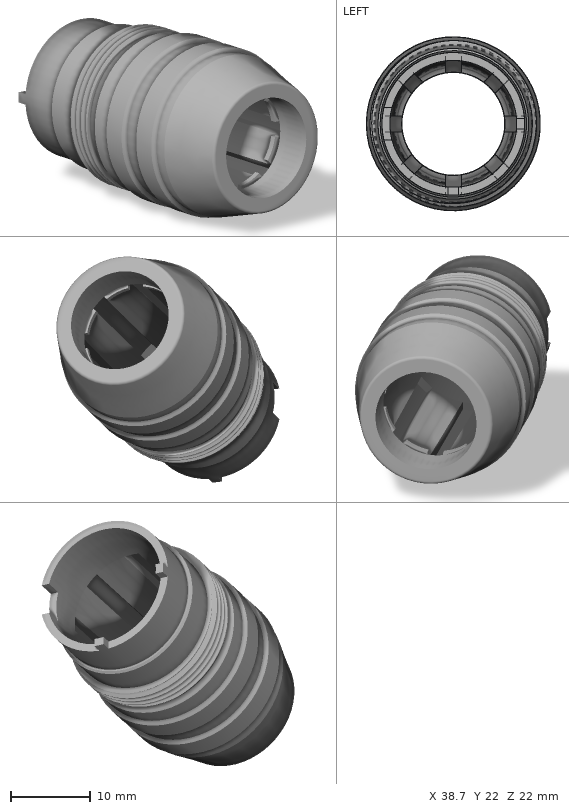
import cadquery as cq
import math


overall_length = 38.72
fit_radius = 9.02
clear_radius = 6.5
clamp_cone_start = 30.98
clamp_cone_angle = 45

collet_front = 1.45
collet_tip = 32.52
collet_bore_radius = 8.0
finger_start = 9.35
finger_end_bore_radius = 7.6
lip_front = 31.75
lip_fillet = 0.45
slot_count = 8
slot_width = 2.0
notch_width = 4.1
notch_end = 4.05
tab_width = 1.3
tab_angles = (180, 270)

nut_front = 7.12
nut_front_chamfer = 0.27
pilot_radius = 9.53
pilot_end = 11.77
thread_lead_length = 0.55
thread_end = 15.65
neck_radius = 9.9
neck_end = 16.65
flange_radius = 10.55
grip_radius = 11.0
grip_starts = (19.75, 25.7)
grip_length = 3.95
nose_start = 31.25
nose_end_radius = 8.48
nose_fillet = 0.4

thread_crest_radius = 10.55
thread_root_radius = 10.0
thread_pitch = 1.0
thread_turns = 4.4
groove_start = 11.85
groove_start_angle = 220
groove_root_width = 0.15
crest_width = 0.08
cutter_clearance = 0.05


def revolve_about_x(outline):
    """Turn a closed outline, drawn as (x, radius), about the X axis."""
    return outline.close().revolve(360, (0, 0, 0), (1, 0, 0))


def clamp_cone_radius(x):
    """Radius at x of the cone that the nut and the fingers share."""
    return fit_radius - (x - clamp_cone_start) * math.tan(math.radians(clamp_cone_angle))


def x_block(x_start, x_end, y_start, y_end, width, angle=0):
    """Block along X, centred on z = 0, then turned about X from +Y."""
    block = cq.Workplane("XY").box(x_end - x_start, y_end - y_start, width, centered=(False, False, True))
    return block.translate((x_start, y_start, 0)).rotate((0, 0, 0), (1, 0, 0), angle)


def make_collet():
    fillet_start = lip_front - lip_fillet
    lip_flat_radius = finger_end_bore_radius - lip_fillet
    arc_mid_x = fillet_start + lip_fillet * math.sin(math.radians(45))
    arc_mid_radius = lip_flat_radius + lip_fillet * math.cos(math.radians(45))
    collet = revolve_about_x(
        cq.Workplane("XY")
        .moveTo(0, collet_bore_radius)
        .lineTo(0, fit_radius)
        .lineTo(clamp_cone_start, fit_radius)
        .lineTo(collet_tip, clamp_cone_radius(collet_tip))
        .lineTo(collet_tip, clear_radius)
        .lineTo(lip_front, clear_radius)
        .lineTo(lip_front, lip_flat_radius)
        .threePointArc((arc_mid_x, arc_mid_radius), (fillet_start, finger_end_bore_radius))
        .lineTo(finger_start, collet_bore_radius)
    )

    waste = cq.Workplane("YZ").circle(grip_radius).extrude(collet_front)
    for angle in tab_angles:
        waste = waste.cut(x_block(0, collet_front, 0, grip_radius, tab_width, angle))
    collet = collet.cut(waste)

    collet = collet.cut(x_block(0, notch_end, 0, grip_radius, notch_width))

    for i in range(slot_count):
        slot = x_block(finger_start, overall_length, 0, grip_radius, slot_width, i * 360 / slot_count)
        collet = collet.cut(slot)
    return collet


def make_thread_groove():
    """Helical groove cutter, coiled along Z and then laid along X."""
    cutter_radius = thread_crest_radius + cutter_clearance
    root_half = groove_root_width / 2
    mouth_half = (thread_pitch - crest_width) / 2
    path = cq.Wire.makeHelix(thread_pitch, thread_turns * thread_pitch, thread_root_radius)
    groove = (
        cq.Workplane("XZ")
        .moveTo(thread_root_radius, -root_half)
        .lineTo(cutter_radius, -mouth_half)
        .lineTo(cutter_radius, mouth_half)
        .lineTo(thread_root_radius, root_half)
        .close()
        .sweep(cq.Workplane(obj=path), isFrenet=True)
    )
    groove = groove.rotate((0, 0, 0), (0, 1, 0), 90)
    return groove.rotate((0, 0, 0), (1, 0, 0), groove_start_angle).translate((groove_start, 0, 0))


def make_nut():
    grip_chamfer = grip_radius - flange_radius
    flange_chamfer = flange_radius - neck_radius

    outline = (
        cq.Workplane("XY")
        .moveTo(nut_front, fit_radius)
        .lineTo(nut_front, pilot_radius - nut_front_chamfer)
        .lineTo(nut_front + nut_front_chamfer, pilot_radius)
        .lineTo(pilot_end, pilot_radius)
        .lineTo(pilot_end + thread_lead_length, thread_crest_radius)
        .lineTo(thread_end, thread_crest_radius)
        .lineTo(thread_end, neck_radius)
        .lineTo(neck_end, neck_radius)
        .lineTo(neck_end + flange_chamfer, flange_radius)
    )
    for start in grip_starts:
        end = start + grip_length
        outline = (
            outline.lineTo(start, flange_radius)
            .lineTo(start + grip_chamfer, grip_radius)
            .lineTo(end - grip_chamfer, grip_radius)
            .lineTo(end, flange_radius)
        )
    cone_length = (fit_radius - clear_radius) / math.tan(math.radians(clamp_cone_angle))
    nut = revolve_about_x(
        outline.lineTo(nose_start, flange_radius)
        .lineTo(overall_length, nose_end_radius)
        .lineTo(overall_length, clear_radius)
        .lineTo(clamp_cone_start + cone_length, clear_radius)
        .lineTo(clamp_cone_start, fit_radius)
    )
    nose_edge = cq.selectors.RadiusNthSelector(-1)
    nut = nut.faces(">X").edges(nose_edge).fillet(nose_fillet)
    return nut.cut(make_thread_groove())


collet = make_collet()
nut = make_nut()

result = cq.Compound.makeCompound([collet.solids().val(), nut.solids().val()])